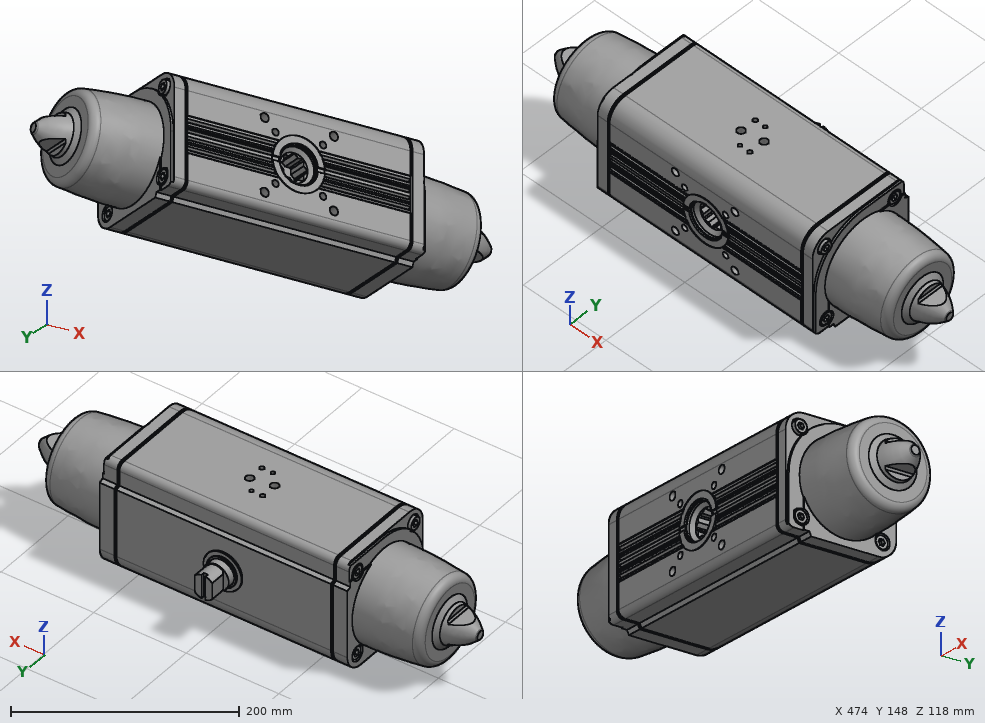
import cadquery as cq
import math


DIAGONAL = math.sqrt(0.5)

HALF_LENGTH = 237.0
BODY_HALF_LENGTH = 116.0
GASKET_WIDTH = 2.0
GASKET_INSET = 0.8
CORNER_FACE_X = 130.0
CAP_FACE_X = 132.4
PAD_FACE_X = 133.8
BELL_MID_X = 165.0
BELL_END_X = 203.8
NECK_X = 208.0
FLAT_START_X = 213.5

FAR_SIDE = 62.0
NEAR_SIDE = 56.0
STEP_SIDE = 51.5
STEP_START = 37.0
STEP_SLOPE = 2.0
BIG_RADIUS = 20.0
SMALL_RADIUS = 7.0

CORNER_ARC_RADIUS = 60.2
PAD_SIDE = 44.5
BELL_BASE_RADIUS = 48.8
BELL_MID_RADIUS = 47.9
BELL_EDGE_RADIUS = 44.9
BELL_ROUND = 8.0
NECK_FOOT_RADIUS = 26.3
NECK_RADIUS = 20.5
NOSE_MID_X = 226.0
NOSE_MID_RADIUS = 13.2
TIP_RADIUS = 5.7
TIP_CHAMFER = 1.2
NOSE_FLAT_HALF = 11.0
FLAT_SHOULDER_RISE = 2.5
FLAT_SHOULDER_RUN = 1.5
SCREW_PLACES = [(39.3, 47.3), (-47.3, 47.3), (40.8, -40.8), (-47.3, -39.3)]
SCREW_POCKET_DIAMETER = 16.0
SCREW_POCKET_DEPTH = 9.0
SCREW_HEAD_DIAMETER = 13.0
SCREW_HEAD_HEIGHT = 8.0
SCREW_SOCKET_FLATS = 6.0
SCREW_SOCKET_DEPTH = 4.0

SHAFT_END_Y = 86.0
SHAFT_DIAMETER = 26.0
SHAFT_FLATS = 19.0
FLATS_TAPER_Y = 69.2
FLATS_NECK_WIDTH = 15.0
COLLAR_DIAMETER = 28.0
COLLAR_END_Y = 67.5
RING_DIAMETER = 32.0
RING_END_Y = 59.5
WASHER_DIAMETER = 41.0
WASHER_END_Y = 57.7
SHAFT_SLOT_WIDTH = 4.0
SHAFT_SLOT_DEPTH = 3.5

CHANNEL_HALF_HEIGHT = 18.0
CHANNEL_DEPTH = 1.0
GROOVES = [(13.3, 3.8), (8.0, 1.8), (3.4, 3.4)]
GROOVE_DEPTH = 2.5
SEAT_DIAMETER = 54.5
SEAT_DEPTH = 0.5
SEAT_SLOT_WIDTH = 4.5
SEAT_SLOT_DEPTH = 2.0
SOCKET_BORE_DIAMETER = 40.0
SOCKET_BORE_DEPTH = 2.5
SOCKET_STEP_DIAMETER = 37.0
SOCKET_STEP_DEPTH = 5.0
SOCKET_CONE_DIAMETER = 29.0
SOCKET_CONE_DEPTH = 9.0
STAR_FLATS = 21.0
STAR_TIP_DIAMETER = 28.0
STAR_DEPTH = 30.0
OUTER_CIRCLE_DIAMETER = 102.0
OUTER_HOLE_DIAMETER = 8.57
OUTER_HOLE_DEPTH = 16.0
INNER_CIRCLE_DIAMETER = 70.0
INNER_HOLE_DIAMETER = 6.65
INNER_HOLE_DEPTH = 13.0
DRILL_POINT_ANGLE = 118.0

PORT_CENTRE_Y = -1.8
PORT_X = 12.0
PORT_OFFSET_Y = 2.0
PORT_DIAMETER = 8.57
PORT_DEPTH = 12.0
CONNECTION_HOLE_Y = 16.0
THREAD_HOLE_DIAMETER = 4.92
PIN_HOLE_DIAMETER = 4.13
CONNECTION_HOLE_DEPTH = 8.0


def section(workplane):
    """Closed outline of body and caps in the YZ plane."""

    def corner(wp, centre, radius, direction_y, direction_z, end):
        middle = (centre[0] + radius * DIAGONAL * direction_y, centre[1] + radius * DIAGONAL * direction_z)
        return wp.threePointArc(middle, end)

    big = BIG_RADIUS
    small = SMALL_RADIUS
    wp = workplane.moveTo(-FAR_SIDE, -STEP_SIDE + small).lineTo(-FAR_SIDE, FAR_SIDE - big)
    wp = corner(wp, (big - FAR_SIDE, FAR_SIDE - big), big, -1, 1, (big - FAR_SIDE, FAR_SIDE))
    wp = wp.lineTo(STEP_SIDE - small, FAR_SIDE)
    wp = corner(wp, (STEP_SIDE - small, FAR_SIDE - small), small, 1, 1, (STEP_SIDE, FAR_SIDE - small))
    wp = wp.lineTo(STEP_SIDE, STEP_START + STEP_SLOPE).lineTo(NEAR_SIDE, STEP_START)
    wp = wp.lineTo(NEAR_SIDE, big - NEAR_SIDE)
    wp = corner(wp, (NEAR_SIDE - big, big - NEAR_SIDE), big, 1, -1, (NEAR_SIDE - big, -NEAR_SIDE))
    wp = wp.lineTo(-STEP_START, -NEAR_SIDE).lineTo(-STEP_START - STEP_SLOPE, -STEP_SIDE)
    wp = wp.lineTo(small - FAR_SIDE, -STEP_SIDE)
    wp = corner(wp, (small - FAR_SIDE, small - STEP_SIDE), small, -1, -1, (-FAR_SIDE, small - STEP_SIDE))
    return wp.close()


def section_prism(start_x, end_x):
    return section(cq.Workplane("YZ", origin=(start_x, 0, 0))).extrude(end_x - start_x)


def yz_box(start_x, end_x, y_range, z_range):
    size = (end_x - start_x, y_range[1] - y_range[0], z_range[1] - z_range[0])
    return cq.Workplane("XY").box(*size, centered=False).translate((start_x, y_range[0], z_range[0]))


def blind_hole(plane_name, origin, inward, diameter, depth):
    """Drilled hole with a conical bottom, running along the given inward direction."""
    radius = diameter / 2
    point = radius / math.tan(math.radians(DRILL_POINT_ANGLE / 2))
    profile = cq.Workplane(plane_name, origin=origin)
    profile = profile.polyline([(0, 0), (radius, 0), (radius, inward * depth), (0, inward * (depth + point))])
    return profile.close().revolve(360, (0, 0), (0, 1))


def y_cylinder(diameter, start_y, end_y):
    """Cylinder on the Y axis."""
    return cq.Workplane("XZ", origin=(0, start_y, 0)).circle(diameter / 2).extrude(start_y - end_y)


def make_cap_levels():
    """End plate of the +X cap with its three face levels."""
    plate = section_prism(BODY_HALF_LENGTH + GASKET_WIDTH, CORNER_FACE_X)

    arc = CORNER_ARC_RADIUS
    main_area = cq.Workplane("YZ").circle(arc).extrude(CAP_FACE_X)
    main_area = main_area.union(yz_box(0, CAP_FACE_X, (0, FAR_SIDE), (-FAR_SIDE, arc)))
    main_area = main_area.union(yz_box(0, CAP_FACE_X, (-arc, FAR_SIDE), (-FAR_SIDE, 0)))
    plate = plate.union(section_prism(CORNER_FACE_X, CAP_FACE_X).intersect(main_area))

    pad_area = yz_box(0, PAD_FACE_X, (0, FAR_SIDE), (-FAR_SIDE, PAD_SIDE))
    pad_area = pad_area.union(yz_box(0, PAD_FACE_X, (-PAD_SIDE, FAR_SIDE), (-FAR_SIDE, 0)))
    return plate.union(section_prism(CAP_FACE_X, PAD_FACE_X).intersect(pad_area))


def make_bell():
    """Spring bell with its nose, revolved about X, on the +X side."""
    round_centre = (BELL_END_X - BELL_ROUND, BELL_EDGE_RADIUS - BELL_ROUND)
    round_middle = (round_centre[0] + BELL_ROUND * DIAGONAL, round_centre[1] + BELL_ROUND * DIAGONAL)
    profile = (
        cq.Workplane("XY")
        .moveTo(CORNER_FACE_X, 0)
        .lineTo(CORNER_FACE_X, BELL_BASE_RADIUS)
        .threePointArc((BELL_MID_X, BELL_MID_RADIUS), (round_centre[0], BELL_EDGE_RADIUS))
        .threePointArc(round_middle, (BELL_END_X, round_centre[1]))
        .lineTo(BELL_END_X, NECK_FOOT_RADIUS)
        .lineTo(NECK_X, NECK_RADIUS)
        .threePointArc((NOSE_MID_X, NOSE_MID_RADIUS), (HALF_LENGTH - TIP_CHAMFER, TIP_RADIUS))
        .lineTo(HALF_LENGTH, TIP_RADIUS - TIP_CHAMFER)
        .lineTo(HALF_LENGTH, 0)
        .close()
    )
    bell = profile.revolve(360, (0, 0), (1, 0))

    shoulder_z = NOSE_FLAT_HALF + FLAT_SHOULDER_RISE
    shoulder_x = FLAT_START_X - FLAT_SHOULDER_RUN
    outline = [
        (HALF_LENGTH, NOSE_FLAT_HALF),
        (FLAT_START_X, NOSE_FLAT_HALF),
        (shoulder_x, shoulder_z),
        (shoulder_x, NECK_FOOT_RADIUS),
        (HALF_LENGTH, NECK_FOOT_RADIUS),
    ]
    flat_cut = cq.Workplane("XZ").polyline(outline).close().extrude(NECK_FOOT_RADIUS, both=True)
    return bell.cut(flat_cut).cut(flat_cut.mirror("XY"))


def make_screws(cap):
    """Cut the screw pockets into the cap and seat a socket-head screw in each."""
    floor_x = PAD_FACE_X - SCREW_POCKET_DEPTH
    socket_diameter = SCREW_SOCKET_FLATS / math.cos(math.pi / 6)
    floor = cq.Workplane("YZ", origin=(floor_x, 0, 0)).pushPoints(SCREW_PLACES)
    pockets = floor.circle(SCREW_POCKET_DIAMETER / 2).extrude(SCREW_POCKET_DEPTH)
    heads = floor.circle(SCREW_HEAD_DIAMETER / 2).extrude(SCREW_HEAD_HEIGHT)
    socket_floor_x = floor_x + SCREW_HEAD_HEIGHT - SCREW_SOCKET_DEPTH
    socket_plane = cq.Workplane("YZ", origin=(socket_floor_x, 0, 0)).pushPoints(SCREW_PLACES)
    sockets = socket_plane.polygon(6, socket_diameter).extrude(SCREW_SOCKET_DEPTH)
    return cap.cut(pockets).union(heads.cut(sockets))


def make_cap():
    gasket = section(cq.Workplane("YZ")).offset2D(-GASKET_INSET).extrude(GASKET_WIDTH)
    gasket = gasket.translate((BODY_HALF_LENGTH, 0, 0))
    return make_screws(make_cap_levels()).union(make_bell()).union(gasket)


def make_shaft():
    """Stepped drive shaft with two flats and a slotted end."""
    steps = [
        (WASHER_DIAMETER, WASHER_END_Y),
        (RING_DIAMETER, RING_END_Y),
        (COLLAR_DIAMETER, COLLAR_END_Y),
    ]
    shaft = y_cylinder(SHAFT_DIAMETER, STEP_SIDE, SHAFT_END_Y)
    full = SHAFT_FLATS / 2
    neck = FLATS_NECK_WIDTH / 2
    outline = [
        (-neck, STEP_SIDE),
        (neck, STEP_SIDE),
        (neck, COLLAR_END_Y),
        (full, FLATS_TAPER_Y),
        (full, SHAFT_END_Y),
        (-full, SHAFT_END_Y),
        (-full, FLATS_TAPER_Y),
        (-neck, COLLAR_END_Y),
    ]
    flats = cq.Workplane("XY").polyline(outline).close().extrude(SHAFT_DIAMETER, both=True)
    shaft = shaft.intersect(flats)
    for diameter, end_y in steps:
        shaft = shaft.union(y_cylinder(diameter, STEP_SIDE, end_y))
    slot = cq.Workplane("XY").box(SHAFT_SLOT_WIDTH, 2 * SHAFT_SLOT_DEPTH, SHAFT_DIAMETER)
    return shaft.cut(slot.translate((0, SHAFT_END_Y, 0)))


def make_front_channel():
    """Shallow ribbed channel along the front face, interrupted by the round seat."""
    length = 2 * BODY_HALF_LENGTH
    channel = cq.Workplane("XY").box(length, 2 * CHANNEL_DEPTH, 2 * CHANNEL_HALF_HEIGHT)
    channel = channel.translate((0, -FAR_SIDE, 0))
    floor_y = CHANNEL_DEPTH - FAR_SIDE
    for place, width in GROOVES:
        half = width / 2
        for z in (place, -place):
            notch = [(floor_y, z - half), (floor_y, z + half), (floor_y + GROOVE_DEPTH, z)]
            start = cq.Workplane("YZ", origin=(-BODY_HALF_LENGTH, 0, 0))
            channel = channel.union(start.polyline(notch).close().extrude(length))
    channel = channel.cut(y_cylinder(SEAT_DIAMETER, -FAR_SIDE - CHANNEL_DEPTH, 0))
    channel = channel.union(y_cylinder(SEAT_DIAMETER, -FAR_SIDE, SEAT_DEPTH - FAR_SIDE))
    slot = cq.Workplane("XY").box(SEAT_DIAMETER, 2 * SEAT_SLOT_DEPTH, SEAT_SLOT_WIDTH)
    return channel.union(slot.translate((0, -FAR_SIDE, 0)))


def make_star_socket():
    """Stepped and coned bore ending in an eight-pointed star."""
    star = cq.Workplane("XZ", origin=(0, -FAR_SIDE, 0)).rect(STAR_FLATS, STAR_FLATS).extrude(-STAR_DEPTH)
    star = star.union(star.rotate((0, 0, 0), (0, 1, 0), 45))
    star = star.intersect(y_cylinder(STAR_TIP_DIAMETER, -FAR_SIDE, 0))
    bore = y_cylinder(SOCKET_BORE_DIAMETER, -FAR_SIDE, SOCKET_BORE_DEPTH - FAR_SIDE)
    step = y_cylinder(SOCKET_STEP_DIAMETER, -FAR_SIDE, SOCKET_STEP_DEPTH - FAR_SIDE)
    cone = cq.Workplane("XZ", origin=(0, SOCKET_STEP_DEPTH - FAR_SIDE, 0)).circle(SOCKET_STEP_DIAMETER / 2)
    cone = cone.workplane(offset=SOCKET_STEP_DEPTH - SOCKET_CONE_DEPTH)
    cone = cone.circle(SOCKET_CONE_DIAMETER / 2).loft()
    return star.union(bore).union(step).union(cone)


def cut_mounting_holes(part):
    """Two square patterns of four blind holes around the star socket."""
    patterns = [
        (OUTER_CIRCLE_DIAMETER, OUTER_HOLE_DIAMETER, OUTER_HOLE_DEPTH),
        (INNER_CIRCLE_DIAMETER, INNER_HOLE_DIAMETER, INNER_HOLE_DEPTH),
    ]
    for circle_diameter, diameter, depth in patterns:
        place = circle_diameter / 2 * DIAGONAL
        for x in (-place, place):
            for z in (-place, place):
                part = part.cut(blind_hole("XY", (x, -FAR_SIDE, z), 1, diameter, depth))
    return part


def cut_air_connection(part):
    """Two air ports, two threaded holes and two pin holes on the top face."""
    near_y = PORT_CENTRE_Y - CONNECTION_HOLE_Y
    far_y = PORT_CENTRE_Y + CONNECTION_HOLE_Y
    holes = [
        (-PORT_X, PORT_CENTRE_Y - PORT_OFFSET_Y, PORT_DIAMETER, PORT_DEPTH),
        (PORT_X, PORT_CENTRE_Y + PORT_OFFSET_Y, PORT_DIAMETER, PORT_DEPTH),
        (-PORT_X, far_y, THREAD_HOLE_DIAMETER, CONNECTION_HOLE_DEPTH),
        (PORT_X, near_y, THREAD_HOLE_DIAMETER, CONNECTION_HOLE_DEPTH),
        (0, far_y, PIN_HOLE_DIAMETER, CONNECTION_HOLE_DEPTH),
        (0, near_y, PIN_HOLE_DIAMETER, CONNECTION_HOLE_DEPTH),
    ]
    for x, y, diameter, depth in holes:
        part = part.cut(blind_hole("XZ", (x, y, FAR_SIDE), -1, diameter, depth))
    return part


body = section_prism(-BODY_HALF_LENGTH, BODY_HALF_LENGTH)
body = body.cut(make_front_channel()).cut(make_star_socket())
body = cut_mounting_holes(body)
body = cut_air_connection(body)
body = body.union(make_shaft())

cap = make_cap()
result = body.union(cap).union(cap.mirror("YZ"))